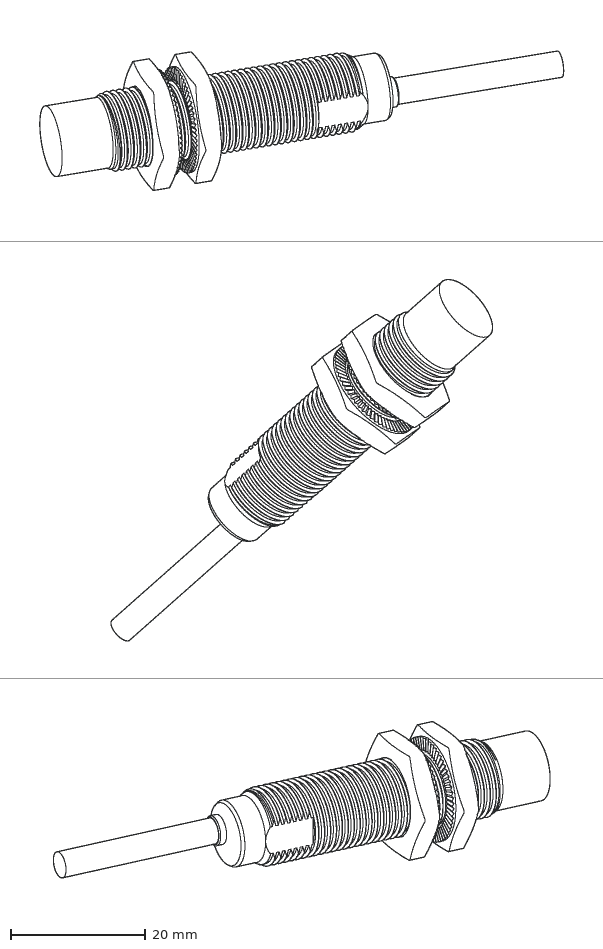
import cadquery as cq
import math


face_length = 8.0
thread_end = 48.0
housing_length = 52.0
bushing_length = 1.2
overall_length = 79.0

thread_diameter = 12.0
face_diameter = 10.7
cap_diameter = 10.2
bushing_diameter = 4.6
cable_diameter = 4.0

cable_offset = 2.0
cap_chamfer_length = 0.5
cap_chamfer_depth = 0.3
bushing_chamfer = 0.2

pitch = 1.0
flank_angle = math.radians(30)
crest_radius = thread_diameter / 2
crest_width = 0.06
thread_depth = 0.45
root_radius = crest_radius - thread_depth
flank_width = thread_depth * math.tan(flank_angle)
root_width = pitch - crest_width - 2 * flank_width
crest_position = root_width + flank_width + crest_width / 2
thread_profile = [
    (root_radius, 0),
    (root_radius, root_width),
    (crest_radius, root_width + flank_width),
    (crest_radius, root_width + flank_width + crest_width),
    (root_radius, pitch),
]
run_out_slope = math.tan(math.radians(30))
run_out_overshoot = 0.5

flat_spacing = cap_diameter
flat_start = 40.0

nut_across_flats = 17.0
nut_edge_fillet = 0.5
nut_height = 4.0
flange_height = 0.6
flange_diameter = 16.0
nut_bore = thread_diameter + 0.1
hex_chamfer_slope = math.tan(math.radians(15))
tooth_count = 60
tooth_depth = 0.3
front_nut_face = 14.0
rear_nut_face = 24.0


def revolve_about_y(points):
    """Solid of revolution about Y from (radius, Y) points."""
    return cq.Workplane("XY").polyline(points).close().revolve(360, (0, 0, 0), (0, 1, 0))


def cylinder(diameter, start, end, x=0.0):
    """Cylinder along Y between two Y positions."""
    plane = cq.Plane(origin=(x, start, 0), xDir=(1, 0, 0), normal=(0, 1, 0))
    return cq.Workplane(plane).circle(diameter / 2).extrude(end - start)


def thread_rod(start, turns):
    """Right-handed threaded rod on Y, built turn by turn from ruled helical strips.

    Each end is closed by a helicoid down to the axis and one flat face on the thread profile,
    so the rod is fully formed from one pitch after `start` to `turns` pitches after it.
    """
    turn_edges = [
        cq.Wire.makeHelix(pitch, pitch, radius).translate(cq.Vector(0, 0, rise)).Edges()[0]
        for radius, rise in thread_profile
    ]
    strips = [cq.Face.makeRuledSurface(a, b) for a, b in zip(turn_edges, turn_edges[1:])]
    faces = [strip.translate(cq.Vector(0, 0, i * pitch)) for i in range(turns) for strip in strips]

    axis = cq.Edge.makeLine(cq.Vector(0, 0, 0), cq.Vector(0, 0, pitch))
    helicoid = cq.Face.makeRuledSurface(axis, turn_edges[0])
    outline = [(0, 0), *thread_profile, (0, pitch)]
    corners = [cq.Vector(radius, 0, rise) for radius, rise in outline]
    profile_face = cq.Face.makeFromWires(cq.Wire.makePolygon(corners, close=True))
    for height in (0, turns * pitch):
        faces.append(helicoid.translate(cq.Vector(0, 0, height)))
        faces.append(profile_face.translate(cq.Vector(0, 0, height)))

    rod = cq.Solid.makeSolid(cq.Shell.makeShell(faces))
    rod = rod.rotate(cq.Vector(0, 0, 0), cq.Vector(1, 0, 0), -90)
    return cq.Workplane(obj=rod.translate(cq.Vector(0, start, 0)))


def threaded_barrel():
    """Thread with conical run-outs at both ends and two wrench flats at the rear."""
    clear_radius = crest_radius + run_out_overshoot
    front_radius = face_diameter / 2
    rear_radius = cap_diameter / 2
    envelope = revolve_about_y([
        (0, face_length),
        (front_radius, face_length),
        (clear_radius, face_length + (clear_radius - front_radius) / run_out_slope),
        (clear_radius, thread_end - (clear_radius - rear_radius) / run_out_slope),
        (rear_radius, thread_end),
        (0, thread_end),
    ])
    rod_start = face_length - pitch - crest_position
    turns = math.ceil((thread_end - rod_start) / pitch)
    barrel = thread_rod(rod_start, turns).intersect(envelope, clean=False)

    flat_length = thread_end - flat_start
    for side in (-1, 1):
        waste = cq.Workplane("XY").box(thread_diameter, flat_length, 2 * thread_diameter).translate(
            (side * (flat_spacing + thread_diameter) / 2, flat_start + flat_length / 2, 0)
        )
        barrel = barrel.cut(waste, clean=False)
    return barrel


def make_sensor():
    """Housing with its thread, rear cap, cable bushing and cable."""
    cap_radius = cap_diameter / 2
    cap = revolve_about_y([
        (0, thread_end),
        (cap_radius, thread_end),
        (cap_radius, housing_length - cap_chamfer_length),
        (cap_radius - cap_chamfer_depth, housing_length),
        (0, housing_length),
    ])
    bushing_end = housing_length + bushing_length
    bushing = cylinder(bushing_diameter, housing_length, bushing_end, cable_offset)
    bushing = bushing.faces(">Y").chamfer(bushing_chamfer)
    cable = cylinder(cable_diameter, bushing_end, overall_length, cable_offset)
    head = cylinder(face_diameter, 0, face_length)
    sensor = threaded_barrel()
    for section in (head, cap, bushing, cable):
        sensor = sensor.union(section, clean=False)
    return sensor


def make_nut():
    """Hex nut on Y from 0 to its height, with a toothed flange at the +Y end."""
    hex_height = nut_height - flange_height
    corner_radius = nut_across_flats / math.sqrt(3)
    flange_radius = flange_diameter / 2
    chamfer_height = (corner_radius - flange_radius) * hex_chamfer_slope
    hexagon = cq.Workplane("XZ").polygon(6, 2 * corner_radius).extrude(-hex_height)
    hexagon = hexagon.edges("|Y").fillet(nut_edge_fillet)
    nut = hexagon.intersect(revolve_about_y([
        (0, 0),
        (flange_radius, 0),
        (corner_radius, chamfer_height),
        (corner_radius, hex_height - chamfer_height),
        (flange_radius, hex_height),
        (0, hex_height),
    ]))
    nut = nut.union(cylinder(flange_diameter, hex_height, nut_height))
    nut = nut.cut(cylinder(nut_bore, 0, nut_height))
    return nut.cut(tooth_gaps())


def tooth_gaps():
    """Radial V grooves around the flange face, deepest and widest at the rim."""
    rim = flange_diameter / 2
    half_gap = rim * math.tan(math.pi / tooth_count)
    groove = cq.Workplane("YZ", origin=(rim, 0, 0)).polyline([
        (nut_height, -half_gap),
        (nut_height, half_gap),
        (nut_height - tooth_depth, 0),
    ]).close().wire()
    base = groove.val()
    apex = cq.Vector(0, nut_height, 0)
    corners = [vertex.Center() for vertex in base.Vertices()]
    faces = [cq.Face.makeFromWires(base)]
    for i, corner in enumerate(corners):
        following = corners[(i + 1) % len(corners)]
        faces.append(cq.Face.makeFromWires(cq.Wire.makePolygon([corner, following, apex], close=True)))
    gap = cq.Solid.makeSolid(cq.Shell.makeShell(faces))
    step = 360 / tooth_count
    gaps = [gap.rotate(cq.Vector(), cq.Vector(0, 1, 0), i * step) for i in range(tooth_count)]
    return cq.Workplane(obj=cq.Compound.makeCompound(gaps))


sensor = make_sensor()
nut = make_nut()
front_nut = nut.translate((0, front_nut_face, 0))
rear_nut = nut.mirror("XZ").translate((0, rear_nut_face, 0))

result = cq.Compound.makeCompound([sensor.val(), front_nut.val(), rear_nut.val()])